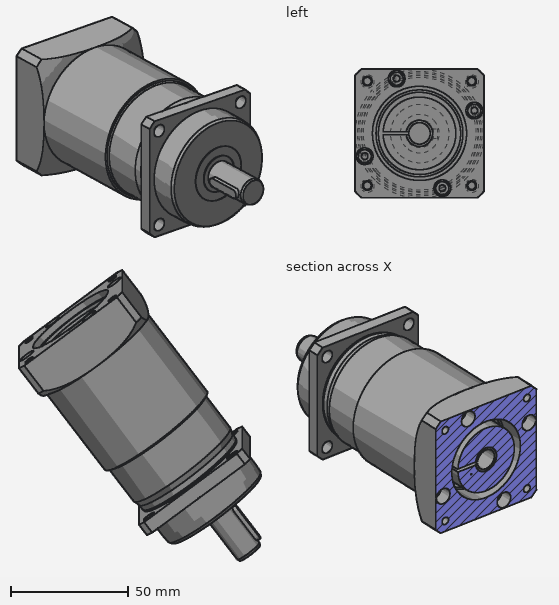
import cadquery as cq
import math


flange_rim_end = 13.7
shoulder_middle = 17.0
flange_end = 18.8
housing_end = 60.6
ring_end = 78.9
neck_start = 81.5
groove_start = 84.2
plate_start = 85.0
plate_end = 90.7
register_end = 98.0
nose_rim = 101.9
nose_end = 103.1
lip_start = 103.4
lip_end = 103.8
total_length = 127.0

square_side = 55.0
housing_radius = square_side / 2
corner_radius = 37.0
ring_radius = 25.9
ring_bevel = 0.6
neck_radius = 25.0
groove_radius = 24.8
nose_rim_radius = 24.8
nose_end_radius = 24.0
seal_radius = 12.5
lip_radius = 8.3
shaft_radius = 6.0
shaft_chamfer = 0.4
shaft_chamfer_length = 1.1

key_length = 18.0
key_width = 4.1
key_top = 7.6
key_center = 115.7

corner_hole_offset = 22.2
motor_hole_radius = 1.7
motor_hole_rim_radius = 2.0
motor_hole_rim_depth = 0.4
motor_hole_depth = 12.7
plate_hole_radius = 2.8

screw_hole_steps = [(3.5, 10.2), (2.8, 10.8), (1.4, 15.2)]
screw_circle_radius = 25.3
screw_count = 4
screw_first_angle = 67.4

cavity_depth = flange_end
recess_steps = [(20.1, 3.0), (18.5, 15.2), (17.5, cavity_depth)]
hub_radius = 15.5
hub_face = 4.1
bore_radius = 4.6
bore_depth = 25.4
bore_rim_radius = 5.6
bore_rim_depth = 0.3
slit_width = 1.3


def cylinder(start, end, radius, y=0, z=0):
    """Solid cylinder parallel to X between two stations."""
    return cq.Workplane("YZ", origin=(start, y, z)).circle(radius).extrude(end - start)


def rounded_square(start, end):
    """Square plate whose corners are turned to the corner radius."""
    plate = cq.Workplane("YZ", origin=(start, 0, 0)).rect(square_side, square_side)
    return plate.extrude(end - start).intersect(cylinder(start, end, corner_radius))


def corner_points():
    """(Y, Z) centres of the four bolt holes shared by both flanges."""
    return [(y, z) for y in (-corner_hole_offset, corner_hole_offset)
            for z in (-corner_hole_offset, corner_hole_offset)]


def turned_body():
    """Housing, ring gear, neck, register, seal and shaft as one revolved profile."""
    profile = (
        cq.Workplane("XY")
        .moveTo(0, 0)
        .lineTo(0, housing_radius)
        .lineTo(housing_end, housing_radius)
        .lineTo(housing_end, ring_radius + ring_bevel)
        .lineTo(housing_end + ring_bevel, ring_radius)
        .lineTo(ring_end, ring_radius)
        .lineTo(neck_start, neck_radius)
        .lineTo(groove_start, neck_radius)
        .lineTo(groove_start, groove_radius)
        .lineTo(plate_start, groove_radius)
        .lineTo(plate_start, neck_radius)
        .lineTo(register_end, neck_radius)
        .lineTo(nose_rim, nose_rim_radius)
        .lineTo(nose_end, nose_end_radius)
        .lineTo(nose_end, seal_radius)
        .lineTo(lip_start, seal_radius)
        .lineTo(lip_start, lip_radius)
        .lineTo(lip_end, lip_radius)
        .lineTo(lip_end, shaft_radius)
        .lineTo(total_length - shaft_chamfer_length, shaft_radius)
        .lineTo(total_length, shaft_radius - shaft_chamfer)
        .lineTo(total_length, 0)
        .close()
    )
    return profile.revolve(360, (0, 0, 0), (1, 0, 0))


def motor_flange():
    """Square flange whose shoulder is rounded down to the housing."""
    middle_radius = (corner_radius + housing_radius) / 2
    envelope = (
        cq.Workplane("XY")
        .moveTo(0, 0)
        .lineTo(0, corner_radius)
        .lineTo(flange_rim_end, corner_radius)
        .threePointArc((shoulder_middle, middle_radius), (flange_end, housing_radius))
        .lineTo(flange_end, 0)
        .close()
        .revolve(360, (0, 0, 0), (1, 0, 0))
    )
    return rounded_square(0, flange_end).intersect(envelope)


def output_plate():
    plate = rounded_square(plate_start, plate_end)
    for y, z in corner_points():
        plate = plate.cut(cylinder(plate_start, plate_end, plate_hole_radius, y, z))
    return plate


def output_key():
    """Round-ended key standing out of the shaft towards -Y."""
    return cq.Workplane("XZ").center(key_center, 0).slot2D(key_length, key_width).extrude(key_top)


def motor_recess():
    """Stepped pilot recess and the ring-shaped cavity left around the slit hub."""
    cavity = cq.Workplane("YZ")
    for radius, depth in recess_steps:
        cavity = cavity.union(cylinder(0, depth, radius))
    slit = cq.Workplane("XY").box(cavity_depth - hub_face, hub_radius, slit_width,
                                  centered=(False, False, True))
    hub = cylinder(hub_face, cavity_depth, hub_radius).cut(slit.translate((hub_face, 0, 0)))
    bore = cylinder(hub_face, bore_depth, bore_radius)
    bore_rim = cylinder(hub_face, hub_face + bore_rim_depth, bore_rim_radius)
    return cavity.cut(hub).union(bore).union(bore_rim)


def motor_bolt_holes():
    holes = cq.Workplane("YZ")
    for y, z in corner_points():
        holes = holes.union(cylinder(0, motor_hole_depth, motor_hole_radius, y, z))
        holes = holes.union(cylinder(0, motor_hole_rim_depth, motor_hole_rim_radius, y, z))
    return holes


def screw_holes():
    holes = cq.Workplane("YZ")
    for index in range(screw_count):
        angle = math.radians(screw_first_angle + 360 * index / screw_count)
        y = screw_circle_radius * math.cos(angle)
        z = screw_circle_radius * math.sin(angle)
        for radius, depth in screw_hole_steps:
            holes = holes.union(cylinder(0, depth, radius, y, z))
    return holes


result = (
    turned_body()
    .union(motor_flange())
    .union(output_plate())
    .union(output_key())
    .cut(motor_recess())
    .cut(motor_bolt_holes())
    .cut(screw_holes())
)